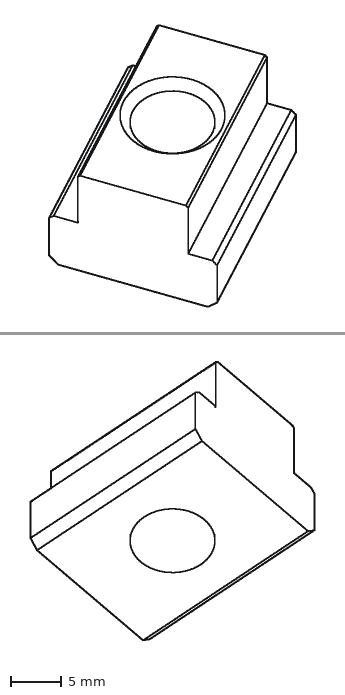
import cadquery as cq

length = 22.0
base_width = 18.0
total_height = 14.0

base_height = 7.0
stem_width = 11.81
bottom_chamfer = 1.0
shoulder_chamfer = 0.5
stem_chamfer = 0.25

hole_diameter = 8.5
countersink_diameter = 10.5
countersink_angle = 90


def make_body():
    """T-section centred on X, extruded symmetrically along Y, resting on Z = 0."""
    half_base = base_width / 2
    half_stem = stem_width / 2
    right_side = [
        (half_base - bottom_chamfer, 0),
        (half_base, bottom_chamfer),
        (half_base, base_height - shoulder_chamfer),
        (half_base - shoulder_chamfer, base_height),
        (half_stem, base_height),
        (half_stem, total_height - stem_chamfer),
        (half_stem - stem_chamfer, total_height),
    ]
    left_side = [(-x, z) for x, z in reversed(right_side)]
    section = cq.Workplane("XZ").polyline(right_side + left_side).close()
    return section.extrude(length / 2, both=True)


def cut_hole(body):
    """Countersunk hole through the middle of the stem top."""
    top_face = body.faces(">Z").workplane(centerOption="CenterOfBoundBox")
    return top_face.cskHole(hole_diameter, countersink_diameter, countersink_angle)


result = cut_hole(make_body())